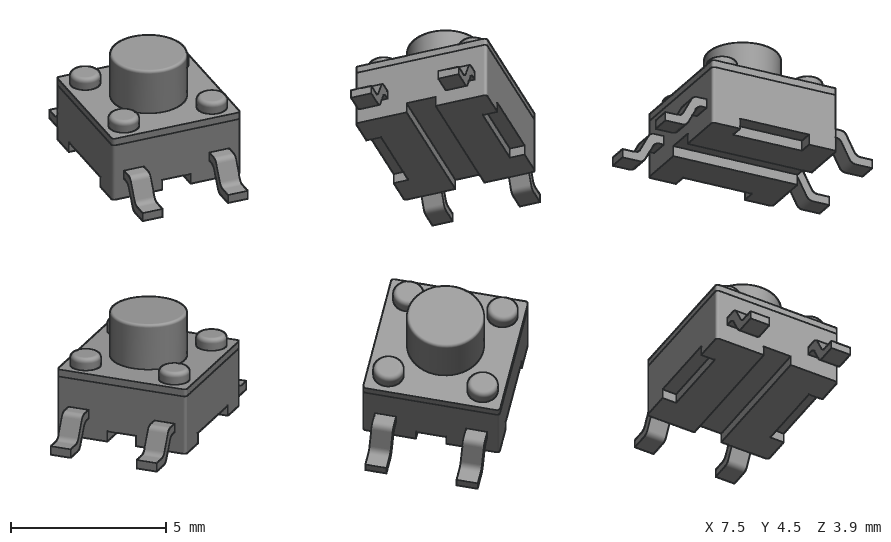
import cadquery as cq
import math

overall_length = 7.5
overall_height = 3.9

body_side = 4.5
corner_radius = 0.1
standoff = 0.1
cover_top = 2.35
cover_thickness = 0.25
cover_bottom = cover_top - cover_thickness

cut_depth = 0.36
channel_width = 1.0
recess_width = 2.5
recess_reach = 0.5

post_diameter = 1.0
post_height = 0.4
post_spacing = 3.1
post_edge_radius = 0.15

button_diameter = 2.5
button_edge_radius = 0.1

lead_width = 0.7
lead_thickness = 0.3
lead_spacing = 3.0
lead_top = 1.1
lead_slope = math.radians(61.9)
lead_bend_radius = 0.25
foot_length = 0.58


def square_block(bottom, top):
    """Square block with rounded vertical corners between two heights."""
    return (
        cq.Workplane("XY", origin=(0, 0, bottom))
        .rect(body_side, body_side)
        .extrude(top - bottom)
        .edges("|Z")
        .fillet(corner_radius)
    )


def rounded_cylinder(diameter, bottom, height, edge_radius):
    """Upright cylinder with a rounded top edge."""
    return (
        cq.Workplane("XY", origin=(0, 0, bottom))
        .circle(diameter / 2)
        .extrude(height)
        .faces(">Z")
        .edges()
        .fillet(edge_radius)
    )


def underside_cut(length, width, center_y):
    """Box that cuts the housing from its underside up to the cut depth."""
    return (
        cq.Workplane("XY", origin=(0, center_y, standoff))
        .rect(length, width)
        .extrude(cut_depth)
    )


def make_housing():
    """Lower block with a channel along X and a recess in each Y face."""
    housing = square_block(standoff, cover_bottom)
    housing = housing.cut(underside_cut(body_side, channel_width, 0))
    for side in (-1, 1):
        recess_center = side * (body_side - recess_reach) / 2
        housing = housing.cut(underside_cut(recess_width, recess_reach, recess_center))
    return housing


def make_cover():
    """Plate on the housing with a round post near each corner."""
    cover = square_block(cover_bottom, cover_top)
    post = rounded_cylinder(post_diameter, cover_top, post_height, post_edge_radius)
    for x_side in (-1, 1):
        for y_side in (-1, 1):
            offset = (x_side * post_spacing / 2, y_side * post_spacing / 2, 0)
            cover = cover.union(post.translate(offset))
    return cover


def make_button():
    """Round push button standing on the middle of the cover."""
    return rounded_cylinder(
        button_diameter, cover_top, overall_height - cover_top, button_edge_radius
    )


def make_lead(side, center_y):
    """Gull-wing lead on the +X (side = 1) or -X (side = -1) face of the housing."""
    face_x = body_side / 2
    tip_x = overall_length / 2
    lead_bottom = lead_top - lead_thickness
    foot_corner_x = tip_x - foot_length
    slant_drop = lead_top - lead_thickness
    slant_run = slant_drop / math.tan(lead_slope)
    shoulder_corner_x = foot_corner_x - slant_run
    miter_shift = lead_thickness * math.tan(lead_slope / 2)
    outline = [
        (face_x, lead_top),
        (shoulder_corner_x, lead_top),
        (foot_corner_x, lead_thickness),
        (tip_x, lead_thickness),
        (tip_x, 0),
        (foot_corner_x - miter_shift, 0),
        (shoulder_corner_x - miter_shift, lead_bottom),
        (face_x, lead_bottom),
    ]
    bend_corners = [outline[1], outline[2], outline[5], outline[6]]
    lead = (
        cq.Workplane("XZ", origin=(0, center_y + lead_width / 2, 0))
        .polyline([(side * x, z) for x, z in outline])
        .close()
        .extrude(lead_width)
    )
    for x, z in bend_corners:
        nearest_edge = cq.selectors.NearestToPointSelector((side * x, center_y, z))
        lead = lead.edges("|Y").edges(nearest_edge).fillet(lead_bend_radius)
    return lead


housing = make_housing()
cover = make_cover()
button = make_button()
leads = [
    make_lead(side, row * lead_spacing / 2)
    for side in (-1, 1)
    for row in (-1, 1)
]

bodies = [housing, cover, button, *leads]

result = cq.Compound.makeCompound([body.solids().val() for body in bodies])